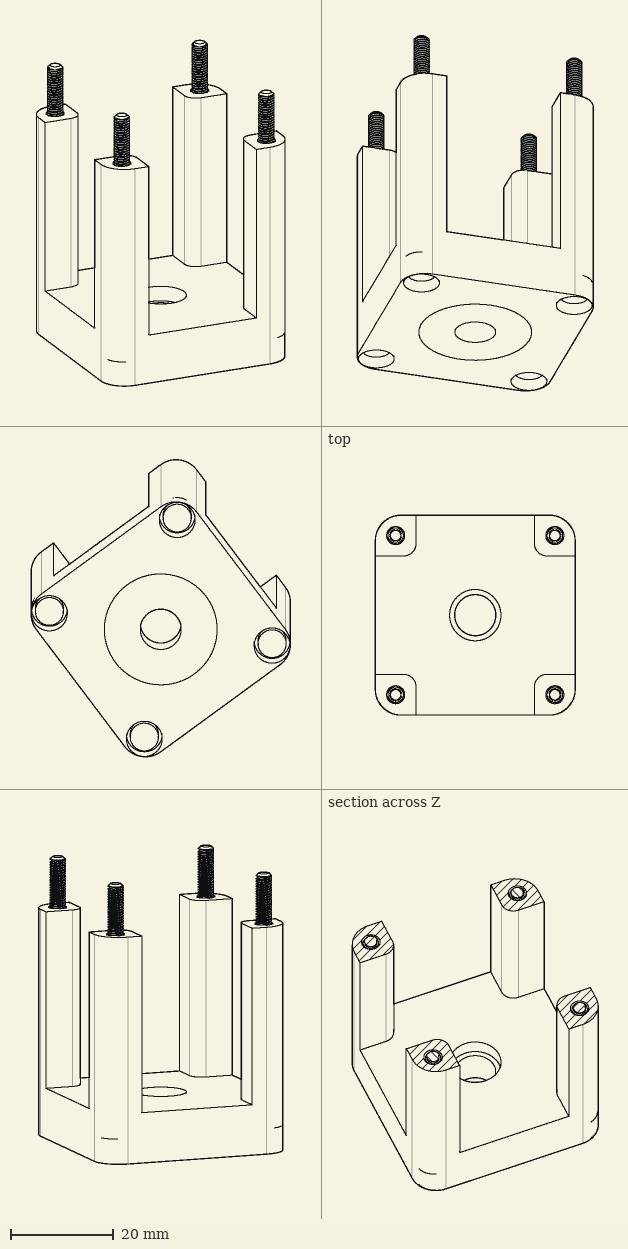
import cadquery as cq

side = 39.0
base_thickness = 10.0
post_top = 45.0
post_width = 8.0
outer_radius = 5.0
post_inner_radius = 2.5

shaft_hole_diameter = 10.0
bearing_diameter = 22.0
bearing_bore = 8.0
bearing_thickness = 7.0

overall_height = 55.0
screw_spacing = 31.0
clearance_diameter = 3.5
counterbore_diameter = 7.0
counterbore_depth = 5.0
head_diameter = 5.5
head_height = 3.0
shank_diameter = 3.0
tip_chamfer = 0.5

thread_root_diameter = 2.35
thread_pitch = 0.5
thread_length = 18.0
root_flat = thread_pitch / 4
crest_flat = thread_pitch / 8
root_embed = 0.05
thread_start_angle = 270.0

screw_offset = screw_spacing / 2
quadrants = [(1, 1), (-1, 1), (-1, -1), (1, -1)]
screw_places = [(sx * screw_offset, sy * screw_offset) for sx, sy in quadrants]


def cylinder(diameter, bottom, top):
    """Vertical cylinder on the Z axis."""
    return cq.Workplane("XY").workplane(offset=bottom).circle(diameter / 2).extrude(top - bottom)


def make_frame():
    """Base plate and posts, with the bearing seat and screw holes cut out."""
    frame = cq.Workplane("XY").rect(side, side).extrude(post_top)
    frame = frame.edges("|Z").fillet(outer_radius)

    post_height = post_top - base_thickness
    clearing = cq.Workplane("XY").workplane(offset=base_thickness).rect(side, side).extrude(post_height)
    post_offset = (side - post_width) / 2
    for sx, sy in quadrants:
        post = (
            cq.Workplane("XY", origin=(sx * post_offset, sy * post_offset, base_thickness))
            .rect(post_width, post_width)
            .extrude(post_height)
        )
        inner_edge = cq.selectors.NearestToPointSelector(
            (
                sx * (side / 2 - post_width),
                sy * (side / 2 - post_width),
                base_thickness + post_height / 2,
            )
        )
        clearing = clearing.cut(post.edges("|Z").edges(inner_edge).fillet(post_inner_radius))
    frame = frame.cut(clearing)

    frame = frame.cut(cylinder(bearing_diameter, 0, bearing_thickness))
    frame = frame.cut(cylinder(shaft_hole_diameter, bearing_thickness, base_thickness))

    screw_hole = cylinder(clearance_diameter, 0, post_top)
    screw_hole = screw_hole.union(cylinder(counterbore_diameter, 0, counterbore_depth))
    for x, y in screw_places:
        frame = frame.cut(screw_hole.translate((x, y, 0)))
    return frame


def make_bearing():
    """Plain ring that fills the recess under the base plate."""
    return cylinder(bearing_diameter, 0, bearing_thickness).cut(cylinder(bearing_bore, 0, bearing_thickness))


def make_thread_ridge(bottom, length):
    """Helical ridge of trapezoidal section, wound around the thread core."""
    root_radius = thread_root_diameter / 2
    crest_radius = shank_diameter / 2
    root_half = (thread_pitch - root_flat) / 2
    crest_half = crest_flat / 2
    flank_slope = (root_half - crest_half) / (crest_radius - root_radius)
    embedded_radius = root_radius - root_embed
    embedded_half = root_half + flank_slope * root_embed
    path = cq.Wire.makeHelix(thread_pitch, length, root_radius)
    ridge = (
        cq.Workplane("XZ")
        .polyline(
            [
                (embedded_radius, -embedded_half),
                (crest_radius, -crest_half),
                (crest_radius, crest_half),
                (embedded_radius, embedded_half),
            ]
        )
        .close()
        .sweep(cq.Workplane(path), isFrenet=True)
    )
    return ridge.rotate((0, 0, 0), (0, 0, 1), thread_start_angle).translate((0, 0, bottom))


def make_screw():
    """Cap screw on the Z axis, head down, with a thread that ends at a smooth conical tip."""
    thread_bottom = overall_height - thread_length
    thread_top = overall_height - tip_chamfer
    head = cylinder(head_diameter, counterbore_depth - head_height, counterbore_depth)
    shank = cylinder(shank_diameter, counterbore_depth, thread_bottom)
    core = cylinder(thread_root_diameter, thread_bottom, thread_top)
    tip_diameter = shank_diameter - 2 * tip_chamfer
    tip = (
        cq.Workplane("XY", origin=(0, 0, thread_top))
        .circle(shank_diameter / 2)
        .workplane(offset=tip_chamfer)
        .circle(tip_diameter / 2)
        .loft()
    )

    ridge = make_thread_ridge(thread_bottom + thread_pitch / 2, thread_top - thread_bottom - thread_pitch)
    return head.union(shank).union(core).union(tip).union(ridge, clean=False)


frame = make_frame()
bearing = make_bearing()
screw = make_screw()
screws = [screw.translate((x, y, 0)) for x, y in screw_places]

result = cq.Compound.makeCompound(
    [frame.solids().val(), bearing.solids().val(), *[s.solids().val() for s in screws]]
)